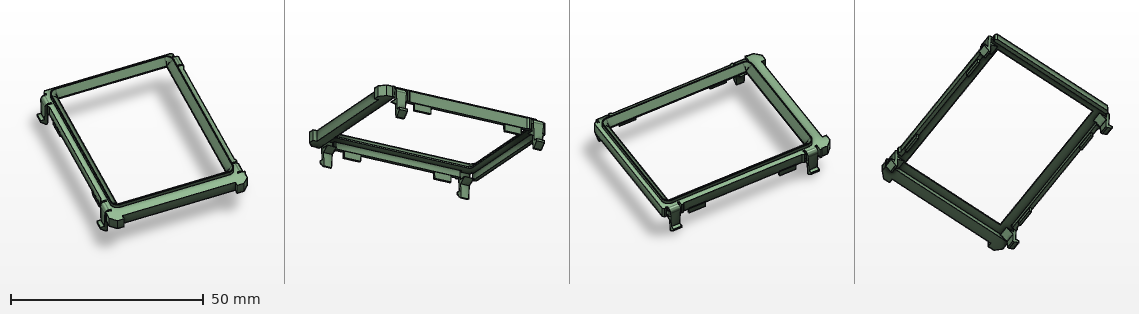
import cadquery as cq

TOTAL_HEIGHT = 9.15
LIP_HEIGHT = 1.0
SKIRT_HEIGHT = 3.0
LEDGE_THICKNESS = 1.1
body_top = TOTAL_HEIGHT - LIP_HEIGHT
body_bottom = body_top - SKIRT_HEIGHT
ledge_bottom = body_top - LEDGE_THICKNESS

WINDOW_LENGTH = 40.8
WINDOW_WIDTH = 30.45
BEVEL = 1.7
LIP_WIDTH = 0.25
LEFT_END = -23.55
RIGHT_END = 25.35
SIDE_WALL_Y = 18.7
LEDGE_Y = 17.7
LEFT_WALL_THICKNESS = 1.0
left_wall_inner = LEFT_END + LEFT_WALL_THICKNESS
right_wall_inner = -left_wall_inner

LEFT_WALL_Y = 18.1
CORNER_CHAMFER = 0.45

SIDE_WALL_HALF_LENGTH = 18.55
NIB_HEIGHT = 0.35
NIB_LENGTH = 0.45
NIB_SLOPE = 0.5

BLOCK_RIGHT = 26.55
BLOCK_Y = 19.35
BLOCK_INNER_Y = 15.8
BLOCK_CHAMFER = 1.65
BLOCK_STEP_LENGTH = 0.6
BLOCK_STEP_HEIGHT = 0.2

TAB_OUTER_X = 16.0
TAB_LENGTH = 5.0
TAB_DRAFT = 0.15
TAB_HEIGHT = 1.85
TAB_OUTER_Y = 18.45
TAB_INNER_Y = 17.8

CLIP_X = 20.55
CLIP_TOP_WIDTH = 3.1
CLIP_TIP_WIDTH = 2.25
CLIP_THICKNESS = 0.9
CLIP_OUTER_Y = 19.4
CLIP_BEND_RADIUS = 1.1
HOOK_TIP_Y = 20.5
HOOK_TOP = 2.1
HOOK_EDGE = 0.6
BARB_TIP_Y = 16.35
BARB_TOP = 5.0
BARB_BOTTOM = 3.75
clip_inner_y = CLIP_OUTER_Y - CLIP_THICKNESS
hook_slope_top = HOOK_TOP - HOOK_EDGE
hook_foot_y = HOOK_TIP_Y - hook_slope_top


def prism(points, bottom, top):
    """Upright prism over a closed outline in the XY plane."""
    return cq.Workplane("XY").workplane(offset=bottom).polyline(points).close().extrude(top - bottom)


def block(x_min, x_max, y_min, y_max, bottom, top):
    """Upright box between two X and two Y limits."""
    corners = [(x_min, y_min), (x_max, y_min), (x_max, y_max), (x_min, y_max)]
    return prism(corners, bottom, top)


def on_both_sides(feature):
    """Feature on the +Y side together with its mirror image on the -Y side."""
    return feature.union(feature.mirror("XZ"))


def on_both_ends(feature):
    """Feature on the +X half together with its mirror image on the -X half."""
    return feature.union(feature.mirror("YZ"))


def ledge_and_lip():
    """Flat ledge joining the walls, with the raised round-cornered lip on it."""
    ledge = block(left_wall_inner, right_wall_inner, -LEDGE_Y, LEDGE_Y, ledge_bottom, body_top)
    lip_margin = BEVEL + LIP_WIDTH
    lip = (
        cq.Workplane("XY")
        .workplane(offset=ledge_bottom)
        .rect(WINDOW_LENGTH + 2 * lip_margin, WINDOW_WIDTH + 2 * lip_margin)
        .extrude(TOTAL_HEIGHT - ledge_bottom)
        .edges("|Z")
        .fillet(lip_margin)
    )
    return ledge.union(lip)


def window():
    """Sharp-cornered opening whose 45 degree bevel spreads into round corners at the lip."""
    opening = (
        cq.Workplane("XY")
        .workplane(offset=ledge_bottom)
        .rect(WINDOW_LENGTH, WINDOW_WIDTH)
        .extrude(TOTAL_HEIGHT - ledge_bottom)
    )
    bevel = (
        cq.Workplane("XY")
        .workplane(offset=TOTAL_HEIGHT - BEVEL)
        .rect(WINDOW_LENGTH, WINDOW_WIDTH)
        .extrude(BEVEL, taper=-45)
    )
    return opening.union(bevel)


def left_wall():
    chamfer_x = LEFT_END + CORNER_CHAMFER
    chamfer_y = LEFT_WALL_Y - CORNER_CHAMFER
    half = prism(
        [
            (left_wall_inner, 0),
            (left_wall_inner, LEFT_WALL_Y),
            (chamfer_x, LEFT_WALL_Y),
            (LEFT_END, chamfer_y),
            (LEFT_END, 0),
        ],
        body_bottom,
        body_top,
    )
    return on_both_sides(half)


def right_wall():
    """Thick end wall with a chamfered, stepped block at each corner."""
    step_x = right_wall_inner + BLOCK_STEP_LENGTH
    step_y = BLOCK_Y + BLOCK_STEP_HEIGHT
    half = prism(
        [
            (right_wall_inner, 0),
            (RIGHT_END, 0),
            (RIGHT_END, BLOCK_INNER_Y),
            (BLOCK_RIGHT, BLOCK_INNER_Y),
            (BLOCK_RIGHT, BLOCK_Y - BLOCK_CHAMFER),
            (BLOCK_RIGHT - BLOCK_CHAMFER, BLOCK_Y),
            (step_x, BLOCK_Y),
            (step_x, step_y),
            (right_wall_inner, step_y),
        ],
        body_bottom,
        body_top,
    )
    return on_both_sides(half)


def side_walls():
    """Long walls with an outward nib at each end."""
    nib_y = SIDE_WALL_Y + NIB_HEIGHT
    nib_inner_x = SIDE_WALL_HALF_LENGTH - NIB_LENGTH
    half = prism(
        [
            (0, LEDGE_Y),
            (SIDE_WALL_HALF_LENGTH, LEDGE_Y),
            (SIDE_WALL_HALF_LENGTH, nib_y),
            (nib_inner_x, nib_y),
            (nib_inner_x - NIB_SLOPE, SIDE_WALL_Y),
            (0, SIDE_WALL_Y),
        ],
        body_bottom,
        body_top,
    )
    return on_both_sides(on_both_ends(half))


def tabs():
    """Tabs below the side walls, drafted on the side facing the middle."""
    tab_inner_x = TAB_OUTER_X - TAB_LENGTH
    tab_bottom = body_bottom - TAB_HEIGHT
    tab = (
        cq.Workplane("XZ", origin=(0, TAB_OUTER_Y, 0))
        .moveTo(TAB_OUTER_X, body_bottom)
        .lineTo(TAB_OUTER_X, tab_bottom)
        .lineTo(tab_inner_x + TAB_DRAFT, tab_bottom)
        .lineTo(tab_inner_x, body_bottom)
        .close()
        .extrude(TAB_OUTER_Y - TAB_INNER_Y)
    )
    return on_both_sides(on_both_ends(tab))


def clips():
    """Snap clips bent down from the ledge, with an outward hook and an inward barb."""
    profile = (
        cq.Workplane("YZ", origin=(CLIP_X, 0, 0))
        .moveTo(LEDGE_Y, body_top)
        .lineTo(CLIP_OUTER_Y - CLIP_BEND_RADIUS, body_top)
        .radiusArc((CLIP_OUTER_Y, body_top - CLIP_BEND_RADIUS), CLIP_BEND_RADIUS)
        .lineTo(CLIP_OUTER_Y, HOOK_TOP)
        .lineTo(HOOK_TIP_Y, HOOK_TOP)
        .lineTo(HOOK_TIP_Y, hook_slope_top)
        .lineTo(hook_foot_y, 0)
        .lineTo(clip_inner_y, 0)
        .lineTo(clip_inner_y, BARB_BOTTOM)
        .lineTo(BARB_TIP_Y, BARB_TOP)
        .lineTo(clip_inner_y, BARB_TOP)
        .lineTo(clip_inner_y, ledge_bottom)
        .lineTo(LEDGE_Y, ledge_bottom)
        .close()
        .extrude(CLIP_TOP_WIDTH / 2, both=True)
    )
    tapered_front = (
        cq.Workplane("XZ", origin=(CLIP_X, HOOK_TIP_Y, 0))
        .moveTo(-CLIP_TOP_WIDTH / 2, body_top)
        .lineTo(CLIP_TOP_WIDTH / 2, body_top)
        .lineTo(CLIP_TIP_WIDTH / 2, 0)
        .lineTo(-CLIP_TIP_WIDTH / 2, 0)
        .close()
        .extrude(HOOK_TIP_Y - BARB_TIP_Y)
    )
    return on_both_sides(on_both_ends(profile.intersect(tapered_front)))


frame = ledge_and_lip().union(left_wall()).union(right_wall()).union(side_walls())
result = frame.union(tabs()).union(clips()).cut(window())